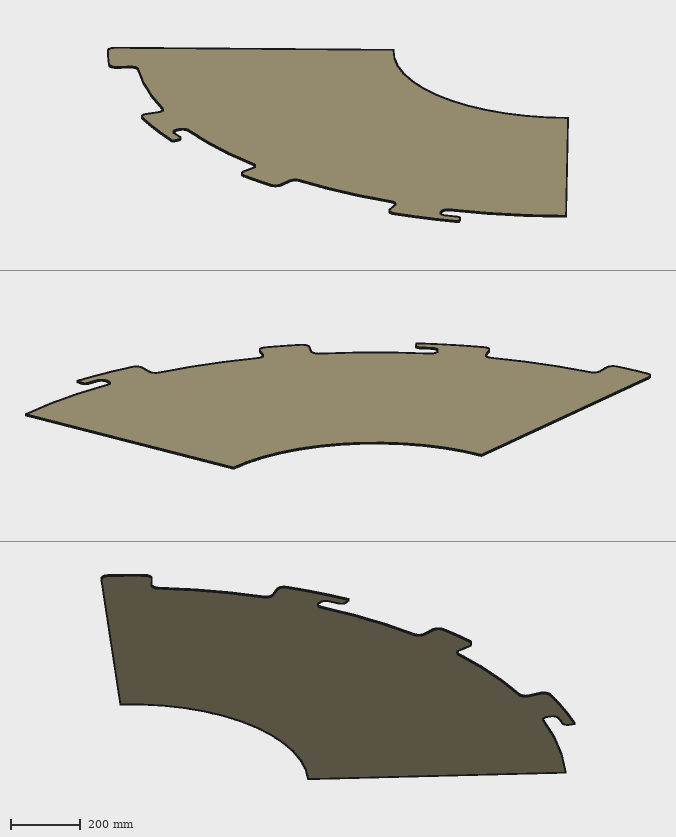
import cadquery as cq
import math

thickness = 4.0
inner_radius = 504.0
body_radius = 1242.0
tab_radius = 1321.0

start_angle = -53.3
tab_pitch = 45.35
end_angle = start_angle + 2 * tab_pitch
tab_angle = 6.4
hook_offset = 22.5
finger_angle = 3.0
finger_thickness = 32.0

side_fillet = 22.0
throat_fillet = 20.0
tip_fillet = 15.0
tolerance = 0.2


def polar(radius, angle):
    turn = math.radians(angle)
    return (radius * math.sin(turn), -radius * math.cos(turn))


def sector(inner, outer, first, last):
    """Ring sector between two radii and two angles."""
    middle = (first + last) / 2
    return (
        cq.Workplane("XY")
        .moveTo(*polar(inner, first))
        .lineTo(*polar(outer, first))
        .threePointArc(polar(outer, middle), polar(outer, last))
        .lineTo(*polar(inner, last))
        .threePointArc(polar(inner, middle), polar(inner, first))
        .close()
        .extrude(thickness)
    )


def plain_tab(first):
    return sector(inner_radius, tab_radius, first, first + tab_angle)


def hook(first):
    root_end = first + tab_angle
    finger_inner = tab_radius - finger_thickness
    root = sector(inner_radius, tab_radius, first, root_end)
    finger = sector(finger_inner, tab_radius, first + tab_angle / 2, root_end + finger_angle)
    return root.union(finger)


def round_corners(plate, corners, radius):
    """Fillet the vertical edges at the given (radius, angle) corners."""
    for corner in corners:
        x, y = polar(*corner)
        lower = (x - tolerance, y - tolerance, -tolerance)
        upper = (x + tolerance, y + tolerance, thickness + tolerance)
        plate = plate.edges(cq.selectors.BoxSelector(lower, upper, boundingbox=True)).fillet(radius)
    return plate


plate = sector(inner_radius, body_radius, start_angle, end_angle)
side_corners = [(tab_radius, start_angle)]
throat_corners = []
tip_corners = []

for index in range(2):
    tab_start = start_angle + index * tab_pitch
    tab_end = tab_start + tab_angle
    hook_start = tab_start + hook_offset
    root_end = hook_start + tab_angle
    plate = plate.union(plain_tab(tab_start)).union(hook(hook_start))

    side_angles = [tab_end, hook_start]
    if index > 0:
        side_angles.append(tab_start)
    for angle in side_angles:
        side_corners += [(body_radius, angle), (tab_radius, angle)]
    finger_inner = tab_radius - finger_thickness
    throat_corners += [(body_radius, root_end), (finger_inner, root_end)]
    tip_corners.append((finger_inner, root_end + finger_angle))

plate = round_corners(plate, side_corners, side_fillet)
plate = round_corners(plate, throat_corners, throat_fillet)
result = round_corners(plate, tip_corners, tip_fillet)